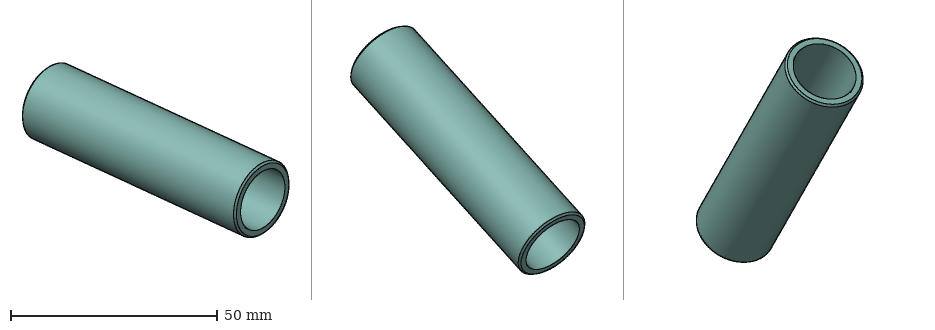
import cadquery as cq

length = 70.0
outer_diameter = 20.0
bore_diameter = 16.0
end_chamfer = 0.5


def cylinder_along_x(diameter):
    """Full-length cylinder on the X axis."""
    return cq.Workplane("YZ").circle(diameter / 2).extrude(length)


body = cylinder_along_x(outer_diameter).faces("<X or >X").edges().chamfer(end_chamfer)

bore = cylinder_along_x(bore_diameter)

result = body.cut(bore)